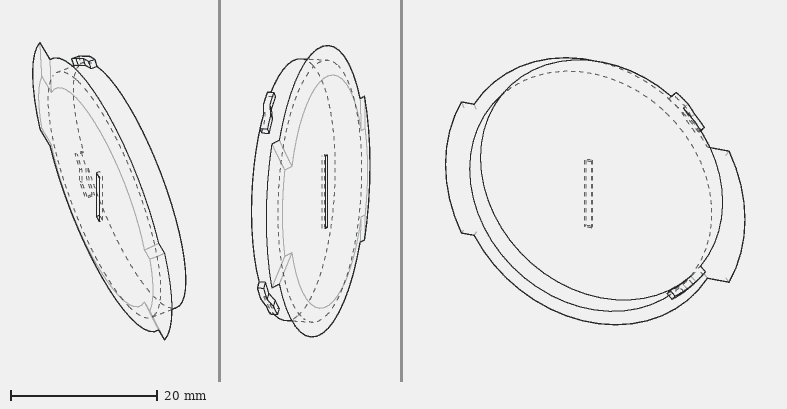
import cadquery as cq

disc_diameter = 40.0
disc_radius = disc_diameter / 2
wing_radius = 22.25
wing_center_x = -0.65
flange_thickness = 1.0
bevel_width = 4.0
wing_half_height = disc_radius / 2

body_radius = 18.0
total_depth = 4.8

slot_width = 1.0
slot_height = 10.05
slot_depth = 0.5

lug_radius = 19.0
lug_half_length = 3.05
lug_bend = 0.8
lug_angles = (135, 225)
lug_high_front = 0.95
lug_low_front = 1.45
lug_low_rear = 0.4


def bevelled_disc(radius, center_x):
    """Cone frustum about the Y axis, narrow end on the front plane y = 0."""
    return cq.Workplane(cq.Solid.makeCone(
        radius - bevel_width, radius, flange_thickness,
        pnt=cq.Vector(center_x, 0, 0), dir=cq.Vector(0, 1, 0)))


def wings():
    """Larger bevelled disc trimmed to a band with sloping upper and lower sides."""
    front_half_height = wing_half_height - bevel_width
    band = (
        cq.Workplane("YZ")
        .polyline([
            (0, -front_half_height),
            (flange_thickness, -wing_half_height),
            (flange_thickness, wing_half_height),
            (0, front_half_height),
        ])
        .close()
        .extrude(2 * wing_radius, both=True)
    )
    return bevelled_disc(wing_radius, wing_center_x).intersect(band)


def cylinder(radius, front, rear):
    """Round block about the Y axis between two depths."""
    return cq.Workplane("XZ", origin=(0, rear, 0)).circle(radius).extrude(rear - front)


def lug(angle):
    """Stepped lug: flush with the rear face at one end, set forward at the other."""
    outline = (
        cq.Workplane("XY")
        .polyline([
            (lug_half_length, total_depth),
            (lug_half_length, total_depth - lug_high_front),
            (lug_bend, total_depth - lug_high_front),
            (-lug_bend, total_depth - lug_low_front),
            (-lug_half_length, total_depth - lug_low_front),
            (-lug_half_length, total_depth - lug_low_rear),
            (-lug_bend, total_depth - lug_low_rear),
            (lug_bend, total_depth),
        ])
        .close()
        .extrude(lug_radius)
    )
    rim = cylinder(lug_radius, flange_thickness, total_depth)
    return outline.intersect(rim).rotate((0, 0, 0), (0, 1, 0), 90 - angle)


flange = bevelled_disc(disc_radius, 0).union(wings())
result = flange.union(cylinder(body_radius, flange_thickness, total_depth))
for lug_angle in lug_angles:
    result = result.union(lug(lug_angle))

slot = cq.Workplane("XY").box(slot_width, slot_depth, slot_height, centered=(True, False, True))
result = result.cut(slot)